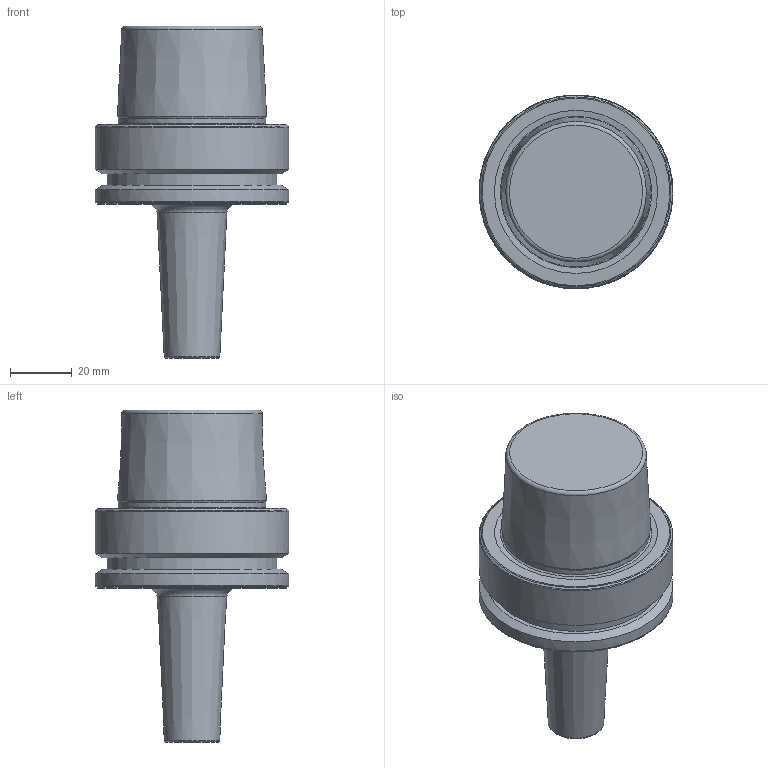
import cadquery as cq
import math


SHANK_TAPER = 0.05
NOSE_TAPER = 0.049

SHANK_TOP_Z = 31.9
SHANK_BASE_Z = 2.5
SHANK_BASE_RADIUS = 24.25
SHANK_TOP_FILLET = 1.2

NECK_RADIUS = 24.0
NECK_TOP_Z = 1.9
NECK_ROOT_FILLET = 0.5

FLANGE_RADIUS = 31.5
FLANGE_THICKNESS = 26.0
FLANGE_CHAMFER = 0.8
FLANGE_EDGE_FILLET = 0.5
RECESS_RADIUS = 26.5
RECESS_DEPTH = 0.4

GROOVE_CENTRE_Z = -18.0
GROOVE_MOUTH_WIDTH = 6.6
GROOVE_INNER_WIDTH = 3.7
GROOVE_WALL_ANGLE = 30.0
GROOVE_FLOOR_RADIUS = 27.6

NOSE_LENGTH = 50.0
NOSE_TIP_RADIUS = 9.02
NOSE_TIP_FILLET = 0.5
NOSE_ROOT_FILLET = 3.0


def revolve_profile(points):
    """Solid of revolution about Z from (radius, height) points."""
    return cq.Workplane("XZ").polyline(points).close().revolve(360, (0, 0, 0), (0, 1, 0))


def edges_within(radius, z):
    """Selector for edges at the given height that lie within the given radius of the Z axis."""
    margin = 0.01
    reach = radius + margin
    return cq.selectors.BoxSelector(
        (-reach, -reach, z - margin),
        (reach, reach, z + margin),
        boundingbox=True,
    )


def make_flange():
    """Disc whose rims are chamfered, with both edges of each chamfer rounded."""
    disc = cq.Workplane("XY").circle(FLANGE_RADIUS).extrude(-FLANGE_THICKNESS)
    disc = disc.edges("%CIRCLE").chamfer(FLANGE_CHAMFER)
    return disc.edges("%CIRCLE").fillet(FLANGE_EDGE_FILLET)


def make_recess():
    """Shallow ring, deepest at the neck, rising to the flange face at its outer edge."""
    return revolve_profile([
        (NECK_RADIUS, 0),
        (NECK_RADIUS, -RECESS_DEPTH),
        (RECESS_RADIUS, 0),
    ])


def make_groove():
    """Ring with sloping mouth walls and a straight-sided floor channel."""
    half_mouth = GROOVE_MOUTH_WIDTH / 2
    half_inner = GROOVE_INNER_WIDTH / 2
    wall_depth = (half_mouth - half_inner) / math.tan(math.radians(GROOVE_WALL_ANGLE))
    shoulder_radius = FLANGE_RADIUS - wall_depth
    return revolve_profile([
        (GROOVE_FLOOR_RADIUS, GROOVE_CENTRE_Z - half_inner),
        (shoulder_radius, GROOVE_CENTRE_Z - half_inner),
        (FLANGE_RADIUS, GROOVE_CENTRE_Z - half_mouth),
        (FLANGE_RADIUS, GROOVE_CENTRE_Z + half_mouth),
        (shoulder_radius, GROOVE_CENTRE_Z + half_inner),
        (GROOVE_FLOOR_RADIUS, GROOVE_CENTRE_Z + half_inner),
    ])


def make_shank():
    """Neck and tapered shank with a rounded top rim."""
    top_radius = SHANK_BASE_RADIUS - (SHANK_TOP_Z - SHANK_BASE_Z) * SHANK_TAPER
    shank = revolve_profile([
        (0, -RECESS_DEPTH),
        (NECK_RADIUS, -RECESS_DEPTH),
        (NECK_RADIUS, NECK_TOP_Z),
        (SHANK_BASE_RADIUS, SHANK_BASE_Z),
        (top_radius, SHANK_TOP_Z),
        (0, SHANK_TOP_Z),
    ])
    return shank.faces(">Z").edges().fillet(SHANK_TOP_FILLET)


def make_nose(root_radius):
    """Tapered nose with a rounded tip rim."""
    root_z = -FLANGE_THICKNESS
    tip_z = root_z - NOSE_LENGTH
    nose = revolve_profile([
        (0, root_z),
        (root_radius, root_z),
        (NOSE_TIP_RADIUS, tip_z),
        (0, tip_z),
    ])
    return nose.faces("<Z").edges().fillet(NOSE_TIP_FILLET)


def make_holder():
    """Flange, shank and nose joined, with the neck and nose roots rounded."""
    nose_root_radius = NOSE_TIP_RADIUS + NOSE_LENGTH * NOSE_TAPER
    holder = make_flange().cut(make_recess()).cut(make_groove())
    holder = holder.union(make_shank()).union(make_nose(nose_root_radius))
    holder = holder.edges(edges_within(NECK_RADIUS, -RECESS_DEPTH)).fillet(NECK_ROOT_FILLET)
    return holder.edges(edges_within(nose_root_radius, -FLANGE_THICKNESS)).fillet(NOSE_ROOT_FILLET)


result = make_holder()